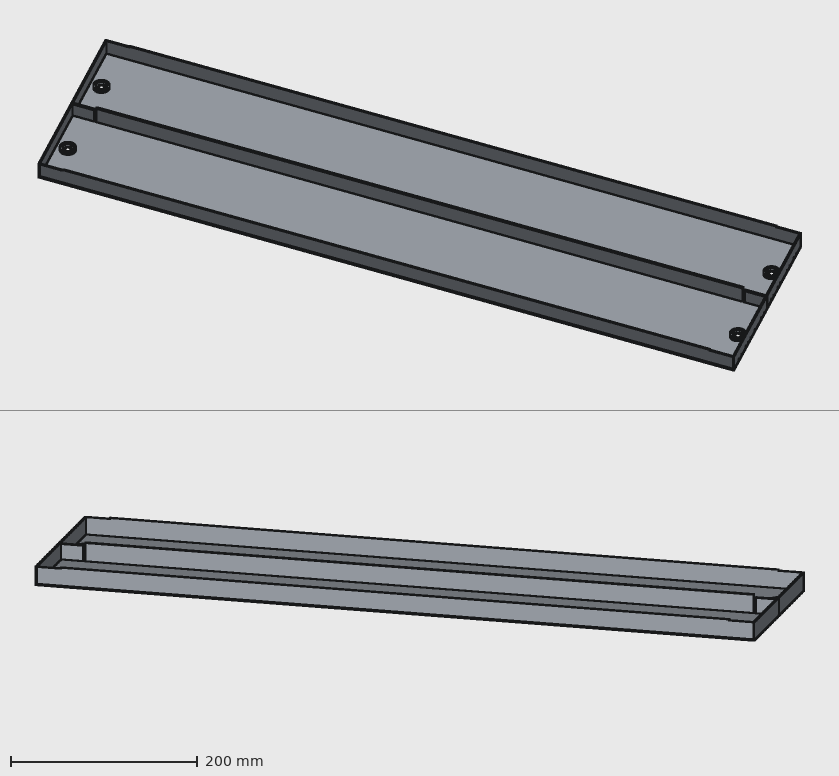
import cadquery as cq

length = 798.0
total_width = 199.0
height = 21.5
tray_width = total_width / 2

sheet = 1.1
end_drop = 1.1
end_run = 28.0
end_height = height - end_drop

tab_drop = 3.0
slot_width = 2.0

hole_diameter = 7.0
collar_diameter = 17.5
countersink_diameter = 12.0
countersink_depth = 1.5
collar_height = 2.0
hole_inset = 14.0


def tray_shell():
    """Open tray with a thin floor and four walls."""
    outer = cq.Workplane("XY").box(length, tray_width, height, centered=(True, True, False))
    cavity = (
        cq.Workplane("XY")
        .workplane(offset=sheet)
        .rect(length - 2 * sheet, tray_width - 2 * sheet)
        .extrude(height)
    )
    return outer.cut(cavity)


def end_clearance(end):
    """Block that lowers the walls at one end; end is -1 or 1."""
    return (
        cq.Workplane("XY")
        .workplane(offset=end_height)
        .center(end * (length - end_run) / 2, 0)
        .rect(end_run, tray_width)
        .extrude(end_drop)
    )


def tab_cut(end, inner_side):
    """Block that lowers the inner wall to a tab, with the slot beside it."""
    wall_y = inner_side * (tray_width - sheet) / 2
    tab_length = end_run - slot_width
    lowered = (
        cq.Workplane("XY")
        .workplane(offset=height - tab_drop)
        .center(end * (length / 2 - sheet - (tab_length - sheet) / 2), wall_y)
        .rect(tab_length - sheet, sheet)
        .extrude(tab_drop)
    )
    slot = (
        cq.Workplane("XY")
        .workplane(offset=sheet)
        .center(end * (length / 2 - end_run + slot_width / 2), wall_y)
        .rect(slot_width, sheet)
        .extrude(height - sheet)
    )
    return lowered.union(slot)


def screw_collar(end):
    """Round collar raised from the floor at one end."""
    return (
        cq.Workplane("XY")
        .workplane(offset=sheet)
        .center(end * (length / 2 - hole_inset), 0)
        .circle(collar_diameter / 2)
        .extrude(collar_height)
    )


def screw_hole(end):
    """Hole through the floor and the collar at one end, countersunk from the collar top."""
    x = end * (length / 2 - hole_inset)
    hole_depth = sheet + collar_height
    drill = cq.Workplane("XY").center(x, 0).circle(hole_diameter / 2).extrude(hole_depth)
    countersink = (
        cq.Workplane("XY")
        .workplane(offset=hole_depth - countersink_depth)
        .center(x, 0)
        .circle(hole_diameter / 2)
        .workplane(offset=countersink_depth)
        .circle(countersink_diameter / 2)
        .loft()
    )
    return drill.union(countersink)


def tray(side):
    """One complete tray on the given side of Y = 0; side is -1 or 1."""
    body = tray_shell()
    for end in (-1, 1):
        body = body.cut(end_clearance(end)).cut(tab_cut(end, -side))
        body = body.union(screw_collar(end)).cut(screw_hole(end))
    return body.translate((0, side * tray_width / 2, 0))


trays = [tray(side) for side in (-1, 1)]

result = cq.Compound.makeCompound([body.val() for body in trays])